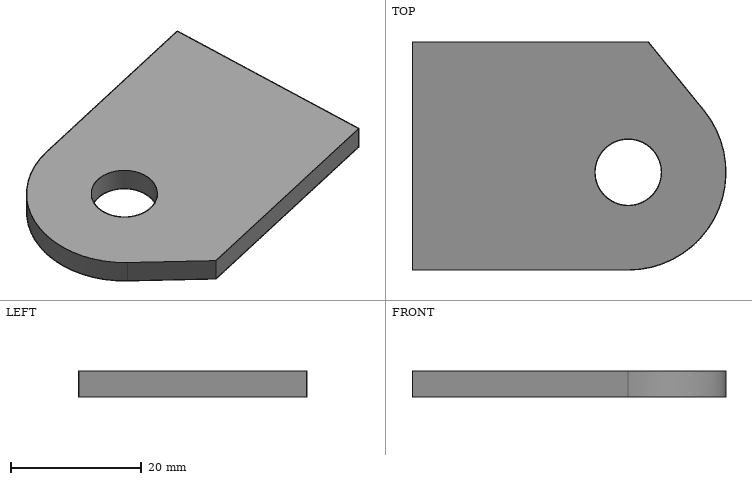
import cadquery as cq
import math

length = 48.1
width = 35.0
thickness = 4.0

nose_radius = 15.0
hole_diameter = 10.15
nose_x = length - nose_radius
nose_y = nose_radius

back_edge_length = 36.15

corner_dx = back_edge_length - nose_x
corner_dy = width - nose_y
corner_distance = math.hypot(corner_dx, corner_dy)
corner_angle = math.atan2(corner_dy, corner_dx)
tangent_angle = corner_angle - math.acos(nose_radius / corner_distance)


def nose_point(angle):
    """Point on the nose arc at an angle measured from +X."""
    return (
        nose_x + nose_radius * math.cos(angle),
        nose_y + nose_radius * math.sin(angle),
    )


plate = (
    cq.Workplane("XY")
    .lineTo(nose_x, 0)
    .threePointArc(nose_point(0), nose_point(tangent_angle))
    .lineTo(back_edge_length, width)
    .lineTo(0, width)
    .close()
    .extrude(thickness)
)

hole = (
    cq.Workplane("XY")
    .center(nose_x, nose_y)
    .circle(hole_diameter / 2)
    .extrude(thickness)
)

result = plate.cut(hole)